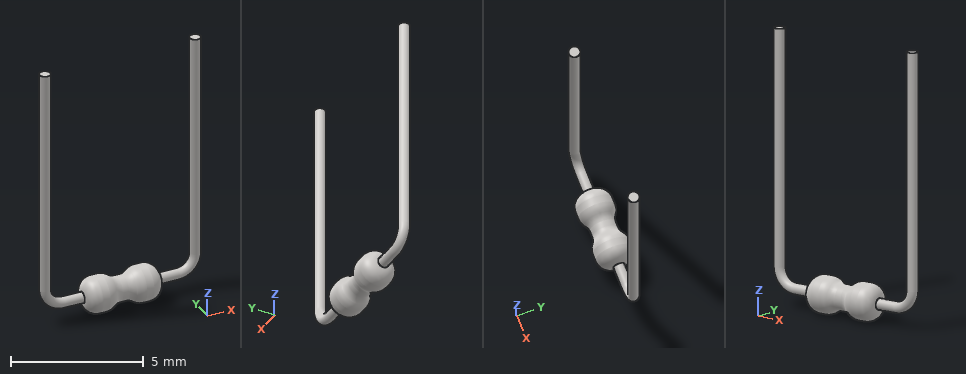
import cadquery as cq
import math

overall_width = 6.8
overall_height = 10.75

wire_diameter = 0.45
bend_radius = 0.75

body_length = 3.2
bulge_radius = 0.75
waist_radius = 0.53
bulge_inner_x = 0.77
blend_x = 0.43
waist_half_length = 0.13

wire_radius = wire_diameter / 2
lead_x = (overall_width - wire_diameter) / 2
lead_top_z = overall_height - bulge_radius
body_half_length = body_length / 2


def make_wire():
    """One round wire running through the body, with both ends bent upright."""
    straight_x = lead_x - bend_radius
    mid_x = straight_x + bend_radius * math.sin(math.pi / 4)
    mid_z = bend_radius * (1 - math.cos(math.pi / 4))
    centreline = (
        cq.Workplane("XZ")
        .moveTo(-lead_x, lead_top_z)
        .lineTo(-lead_x, bend_radius)
        .threePointArc((-mid_x, mid_z), (-straight_x, 0))
        .lineTo(straight_x, 0)
        .threePointArc((mid_x, mid_z), (lead_x, bend_radius))
        .lineTo(lead_x, lead_top_z)
    )
    return (
        cq.Workplane("XY", origin=(-lead_x, 0, lead_top_z))
        .circle(wire_radius)
        .sweep(centreline)
    )


def make_body():
    """Dumbbell-shaped body of revolution around X, bored to fit the wire."""
    end_round = bulge_radius - wire_radius
    bulge_outer_x = body_half_length - end_round
    end_mid_x = bulge_outer_x + end_round * math.sin(math.pi / 4)
    end_mid_r = wire_radius + end_round * math.cos(math.pi / 4)

    shoulder_length = bulge_inner_x - blend_x
    neck_length = blend_x - waist_half_length
    drop = bulge_radius - waist_radius
    blend_r = bulge_radius - drop * shoulder_length / (shoulder_length + neck_length)

    profile = (
        cq.Workplane("XZ")
        .moveTo(-body_half_length, wire_radius)
        .threePointArc((-end_mid_x, end_mid_r), (-bulge_outer_x, bulge_radius))
        .lineTo(-bulge_inner_x, bulge_radius)
        .tangentArcPoint((-blend_x, blend_r), relative=False)
        .tangentArcPoint((-waist_half_length, waist_radius), relative=False)
        .lineTo(waist_half_length, waist_radius)
        .tangentArcPoint((blend_x, blend_r), relative=False)
        .tangentArcPoint((bulge_inner_x, bulge_radius), relative=False)
        .lineTo(bulge_outer_x, bulge_radius)
        .threePointArc((end_mid_x, end_mid_r), (body_half_length, wire_radius))
        .close()
    )
    return profile.revolve(360, (0, 0, 0), (1, 0, 0))


lead_wire = make_wire()
resistor_body = make_body()

result = cq.Compound.makeCompound([lead_wire.val(), resistor_body.val()])